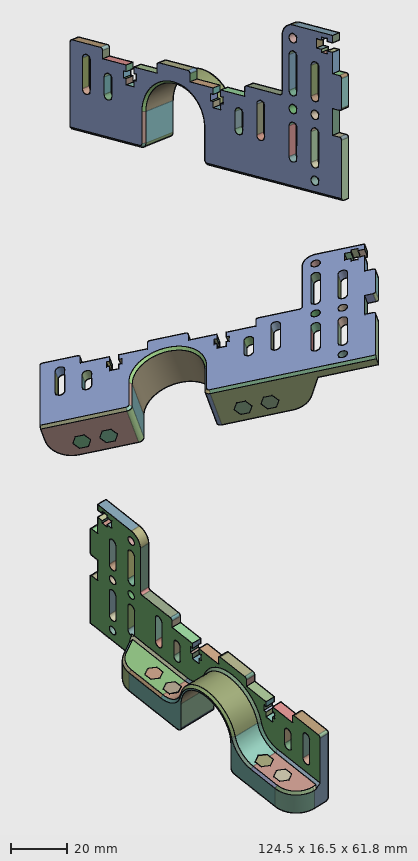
import cadquery as cq
import math

LENGTH = 124.5
HEIGHT = 61.8
DEPTH = 16.5
PLATE_THICKNESS = 4.0
EDGE_CHAMFER = 1.0
FRONT_CHAMFER = 1.0

LOW_TOP = 34.1
TAB_DEPTH = 4.1
LEFT_TAB_END = 15.0
MIDDLE_TAB_WIDTH = 15.2
RIGHT_TAB_START = 80.0
UPRIGHT_LEFT = 97.2
UPRIGHT_CORNER_RADIUS = 5.0
SIDE_TAB_TOP = 47.3
SIDE_NOTCH_BOTTOM = 24.0
SIDE_NOTCH_TOP = LOW_TOP
TAB_CORNER_RADIUS = 1.0

ARCH_X = 47.4
ARCH_Z = 14.0
ARCH_OUTER_RADIUS = 15.2
ARCH_INNER_RADIUS = 13.5
OPENING_CORNER_RADIUS = 2.0

FOOT_HEIGHT = 10.0
FOOT_BLEND_RADIUS = 10.0
FOOT_END_RADIUS = 10.0
FOOT_RIGHT_CORNER = 94.7
FOOT_RIGHT_ANGLE = 30.0

HOLE_DIAMETER = 3.5
SLOT_PITCH = 10.0
LOW_SLOT_BOTTOM = 15.0
LONG_SLOT_TOP = 30.0
SHORT_SLOT_TOP = 25.0
OUTER_SLOT_OFFSET = 40.0
UPRIGHT_COLUMNS = (102.2, 112.3)
UPRIGHT_LOW_SLOT = (10.0, 25.0)
UPRIGHT_HIGH_SLOT_BOTTOM = 35.0
UPRIGHT_HIGH_SLOT_TOPS = (51.9, 50.0)
MIDDLE_HOLE_Z = 30.0
TOP_HOLE_Z = 56.8
BOTTOM_HOLE_Z = 5.1

T_SLOT_OFFSET = 19.9
T_SLOT_WIDTH = 3.5
T_SLOT_DEPTH = 7.5
NUT_SLOT_WIDTH = 5.7
NUT_SLOT_HEIGHT = 2.6
NUT_SLOT_START = 2.5
SIDE_T_SLOT_Z = 57.1

INSERT_ACROSS_CORNERS = 6.6
INSERT_Y = 10.7
INSERT_OFFSET = 24.9
INSERT_HEIGHT = FOOT_HEIGHT

NOTCH_FLOOR = LOW_TOP - TAB_DEPTH
SIDE_EDGE = LENGTH - TAB_DEPTH


def front_sketch():
    """Workplane on the front face of the plate, with local axes X and Z."""
    return cq.Workplane("XZ")


def extrude_back(sketch, depth):
    """Extrude a front sketch toward +Y."""
    return sketch.extrude(-depth)


def round_plate_corners(plate, corners, radius):
    """Round the plate edges along Y at the given (x, z) corners."""
    for x, z in corners:
        edge_middle = (x, PLATE_THICKNESS / 2, z)
        plate = plate.edges("|Y").edges(cq.NearestToPointSelector(edge_middle)).fillet(radius)
    return plate


def make_plate():
    middle_left = ARCH_X - MIDDLE_TAB_WIDTH / 2
    middle_right = ARCH_X + MIDDLE_TAB_WIDTH / 2
    outline = [
        (0, 0), (LENGTH, 0), (LENGTH, SIDE_NOTCH_BOTTOM), (SIDE_EDGE, SIDE_NOTCH_BOTTOM),
        (SIDE_EDGE, SIDE_NOTCH_TOP), (LENGTH, SIDE_NOTCH_TOP), (LENGTH, SIDE_TAB_TOP),
        (SIDE_EDGE, SIDE_TAB_TOP), (SIDE_EDGE, HEIGHT), (UPRIGHT_LEFT, HEIGHT),
        (UPRIGHT_LEFT, LOW_TOP), (RIGHT_TAB_START, LOW_TOP), (RIGHT_TAB_START, NOTCH_FLOOR),
        (middle_right, NOTCH_FLOOR), (middle_right, LOW_TOP), (middle_left, LOW_TOP),
        (middle_left, NOTCH_FLOOR), (LEFT_TAB_END, NOTCH_FLOOR), (LEFT_TAB_END, LOW_TOP), (0, LOW_TOP),
    ]
    plate = extrude_back(front_sketch().polyline(outline).close(), PLATE_THICKNESS)
    small_corners = [
        (LENGTH, SIDE_NOTCH_BOTTOM), (LENGTH, SIDE_NOTCH_TOP), (LENGTH, SIDE_TAB_TOP),
        (RIGHT_TAB_START, LOW_TOP), (middle_right, LOW_TOP), (middle_left, LOW_TOP),
        (LEFT_TAB_END, LOW_TOP), (0, LOW_TOP), (UPRIGHT_LEFT, LOW_TOP),
    ]
    plate = round_plate_corners(plate, small_corners, TAB_CORNER_RADIUS)
    return round_plate_corners(plate, [(UPRIGHT_LEFT, HEIGHT)], UPRIGHT_CORNER_RADIUS)


def make_foot():
    """Foot with the arch hump, limited by its rounded plan outline."""
    blend_z = FOOT_HEIGHT + FOOT_BLEND_RADIUS
    centre_distance = ARCH_OUTER_RADIUS + FOOT_BLEND_RADIUS
    blend_dx = math.sqrt(centre_distance**2 - (blend_z - ARCH_Z)**2)
    share = ARCH_OUTER_RADIUS / centre_distance
    join_dx = blend_dx * share
    join_z = ARCH_Z + (blend_z - ARCH_Z) * share
    join_angle = math.atan2(join_z - blend_z, join_dx - blend_dx)
    middle_angle = (join_angle - math.pi / 2) / 2
    middle_dx = blend_dx + FOOT_BLEND_RADIUS * math.cos(middle_angle)
    middle_z = blend_z + FOOT_BLEND_RADIUS * math.sin(middle_angle)

    profile = (
        front_sketch()
        .moveTo(0, 0)
        .lineTo(LENGTH, 0)
        .lineTo(LENGTH, FOOT_HEIGHT)
        .lineTo(ARCH_X + blend_dx, FOOT_HEIGHT)
        .threePointArc((ARCH_X + middle_dx, middle_z), (ARCH_X + join_dx, join_z))
        .threePointArc((ARCH_X, ARCH_Z + ARCH_OUTER_RADIUS), (ARCH_X - join_dx, join_z))
        .threePointArc((ARCH_X - middle_dx, middle_z), (ARCH_X - blend_dx, FOOT_HEIGHT))
        .lineTo(0, FOOT_HEIGHT)
        .close()
    )
    hump = extrude_back(profile, DEPTH)

    right_end_front = FOOT_RIGHT_CORNER + DEPTH * math.tan(math.radians(FOOT_RIGHT_ANGLE))
    plan = (
        cq.Workplane("XY")
        .polyline([(0, 0), (right_end_front, 0), (FOOT_RIGHT_CORNER, DEPTH), (0, DEPTH)])
        .close()
        .extrude(HEIGHT)
        .edges("|Z and >Y")
        .fillet(FOOT_END_RADIUS)
    )
    return hump.intersect(plan)


def chamfer_chain(body, point, size):
    """Chamfer the edge nearest to a point, and with it the whole smooth chain it belongs to."""
    return body.edges(cq.NearestToPointSelector(point)).chamfer(size)


def make_blank():
    """Plate and foot joined, with the rear edges and the inner corner chamfered."""
    arch_top = ARCH_Z + ARCH_OUTER_RADIUS
    blank = make_plate().union(make_foot())
    for y in (PLATE_THICKNESS, DEPTH):
        blank = chamfer_chain(blank, (ARCH_X, y, arch_top), EDGE_CHAMFER)
    return blank


def cut_arch_opening(body):
    """Open the arch through the full depth and ease its lower corners and front edge."""
    left = ARCH_X - ARCH_INNER_RADIUS
    right = ARCH_X + ARCH_INNER_RADIUS
    opening = (
        front_sketch()
        .moveTo(left, 0)
        .lineTo(right, 0)
        .lineTo(right, ARCH_Z)
        .threePointArc((ARCH_X, ARCH_Z + ARCH_INNER_RADIUS), (left, ARCH_Z))
        .close()
    )
    body = body.cut(extrude_back(opening, DEPTH))
    for x in (left, right):
        body = body.edges(cq.NearestToPointSelector((x, DEPTH / 2, 0))).fillet(OPENING_CORNER_RADIUS)
    return chamfer_chain(body, (right, 0, ARCH_Z / 2), FRONT_CHAMFER)


def plate_slot(x, bottom, top):
    """Upright slot with round ends, as a cutter through the plate."""
    sketch = front_sketch().center(x, (bottom + top) / 2).slot2D(top - bottom, HOLE_DIAMETER, 90)
    return extrude_back(sketch, PLATE_THICKNESS)


def plate_hole(x, z):
    return extrude_back(front_sketch().center(x, z).circle(HOLE_DIAMETER / 2), PLATE_THICKNESS)


def t_slot():
    """T-slot cutter that opens upward, with its mouth at the origin."""
    screw = front_sketch().center(0, -T_SLOT_DEPTH / 2).rect(T_SLOT_WIDTH, T_SLOT_DEPTH)
    nut_z = -NUT_SLOT_START - NUT_SLOT_HEIGHT / 2
    nut = front_sketch().center(0, nut_z).rect(NUT_SLOT_WIDTH, NUT_SLOT_HEIGHT)
    return extrude_back(screw, PLATE_THICKNESS).union(extrude_back(nut, PLATE_THICKNESS))


def cut_plate_openings(body):
    """Slots and T-slots on both sides of the arch, then those of the upright."""
    for side in (-1, 1):
        outer_x = ARCH_X + side * OUTER_SLOT_OFFSET
        inner_x = outer_x - side * SLOT_PITCH
        body = body.cut(plate_slot(outer_x, LOW_SLOT_BOTTOM, LONG_SLOT_TOP))
        body = body.cut(plate_slot(inner_x, LOW_SLOT_BOTTOM, SHORT_SLOT_TOP))
        body = body.cut(t_slot().translate((ARCH_X + side * T_SLOT_OFFSET, 0, NOTCH_FLOOR)))

    for x, high_slot_top in zip(UPRIGHT_COLUMNS, UPRIGHT_HIGH_SLOT_TOPS):
        body = body.cut(plate_slot(x, *UPRIGHT_LOW_SLOT))
        body = body.cut(plate_slot(x, UPRIGHT_HIGH_SLOT_BOTTOM, high_slot_top))
        body = body.cut(plate_hole(x, MIDDLE_HOLE_Z))
    left_column, right_column = UPRIGHT_COLUMNS
    body = body.cut(plate_hole(left_column, TOP_HOLE_Z))
    body = body.cut(plate_hole(right_column, BOTTOM_HOLE_Z))

    side_slot = t_slot().rotate((0, 0, 0), (0, 1, 0), 90)
    return body.cut(side_slot.translate((SIDE_EDGE, 0, SIDE_T_SLOT_Z)))


def hex_prism(x, height):
    """Hexagonal prism standing on the bottom plane, with two corners along X."""
    return cq.Workplane("XY").center(x, INSERT_Y).polygon(6, INSERT_ACROSS_CORNERS).extrude(height)


def insert_positions():
    """X of the two inserts on each side of the arch."""
    inner_positions = [(side, ARCH_X + side * INSERT_OFFSET) for side in (-1, 1)]
    return [x + side * step * SLOT_PITCH for side, x in inner_positions for step in (0, 1)]


def make_bracket():
    """Bracket with a matching hexagonal hole up through the foot for every insert."""
    bracket = cut_plate_openings(cut_arch_opening(make_blank()))
    for x in insert_positions():
        bracket = bracket.cut(hex_prism(x, HEIGHT))
    return bracket


def make_insert(x):
    return hex_prism(x, INSERT_HEIGHT)


bracket = make_bracket()
inserts = [make_insert(x) for x in insert_positions()]
result = cq.Compound.makeCompound([bracket.val(), *[insert.val() for insert in inserts]])